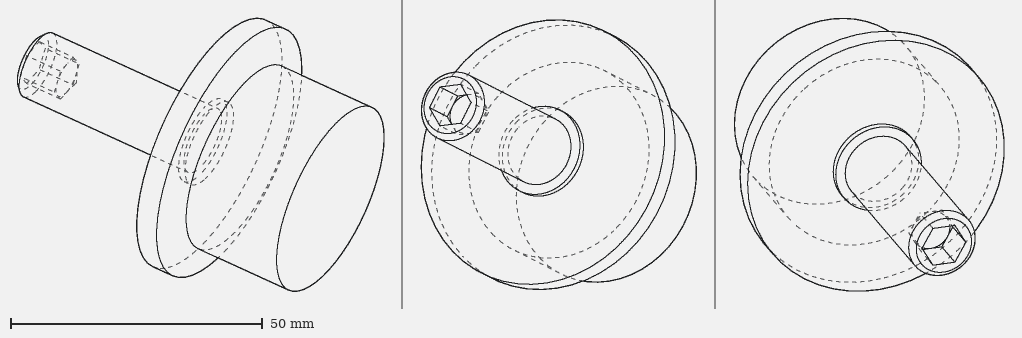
import cadquery as cq
import math

overall_length = 70.0
collar_start = 40.0
flange_start = 41.5
flange_end = 46.2
roller_start = 48.7

stud_diameter = 14.0
collar_diameter = 18.0
flange_diameter = 54.0
roller_diameter = 40.0

stud_chamfer = 1.2

socket_across_flats = 8.0
socket_depth = 8.0
drill_point_angle = 120.0


def make_body():
    """Revolve the stepped stud, collar, flange and roller about the X axis."""
    stud_radius = stud_diameter / 2
    collar_radius = collar_diameter / 2
    flange_radius = flange_diameter / 2
    roller_radius = roller_diameter / 2
    profile = [
        (0, 0),
        (0, stud_radius - stud_chamfer),
        (stud_chamfer, stud_radius),
        (collar_start, stud_radius),
        (collar_start, collar_radius),
        (flange_start, collar_radius),
        (flange_start, flange_radius),
        (flange_end, flange_radius),
        (roller_start, roller_radius),
        (overall_length, roller_radius),
        (overall_length, 0),
    ]
    return cq.Workplane("XY").polyline(profile).close().revolve(360, (0, 0), (1, 0))


def make_socket():
    """Hexagonal recess in the stud end, corners along Y, ending in a cone."""
    across_corners = socket_across_flats / math.cos(math.radians(30))
    hexagon = cq.Workplane("YZ").polygon(6, across_corners).extrude(socket_depth)
    cone_radius = socket_across_flats / 2
    cone_height = cone_radius / math.tan(math.radians(drill_point_angle / 2))
    cone = cq.Workplane(
        cq.Solid.makeCone(
            cone_radius, 0, cone_height, cq.Vector(socket_depth, 0, 0), cq.Vector(1, 0, 0)
        )
    )
    return hexagon.union(cone)


result = make_body().cut(make_socket())